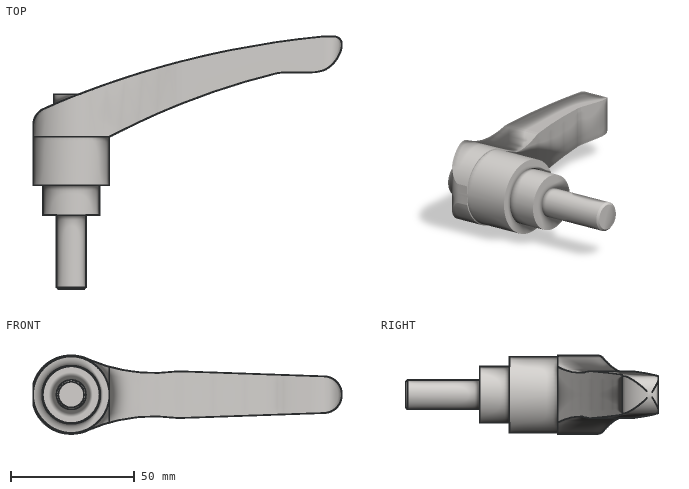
import cadquery as cq


stud_diameter = 12.0
stud_length = 30.0
stud_chamfer = 0.8
insert_diameter = 23.0
insert_length = 12.1
collar_diameter = 31.0
collar_radius = collar_diameter / 2
collar_length = 19.7
collar_top = insert_length + collar_length
bore_diameter = 23.7
bore_depth = 12.0
bore_end = insert_length + bore_depth
button_diameter = 14.3
button_top = 49.2
button_hole_diameter = 17.2

head_radius = 16.0
head_flat_inset = 0.01
head_flat_x = -collar_radius + head_flat_inset
shoulder_radius = 7.5
shoulder_corner_y = 41.3
shoulder_start_y = 36.4

overall_length = 125.41
tip_x = overall_length - collar_radius
tip_side_y = 68.5
tip_top_y = 72.63
tip_top_start = (102.5, tip_top_y)
tip_top_end = (106.5, tip_top_y)
tip_end = (tip_x, tip_side_y)
belly_flat_end = (102.8, 58.88)
belly_flat_start = (101.7, 58.55)
grip_flat_y = 57.9
grip_flat_end = (97.2, grip_flat_y)
grip_flat_start = (85.9, grip_flat_y)
top_middle = (46.0, 62.85)
underside_end = (83.5, 57.6)
underside_middle = (52.0, 48.0)
underside_start = (19.8, 33.95)

head_end = (7.3, 14.24)
waist = (33.6, 8.84)
neck_end = (42.7, 9.47)
taper_start = (45.0, 9.5)
tip_half_width = 7.5
taper_end = (tip_x - tip_half_width, tip_half_width)

clearance = 5.0


def cylinder(diameter, y_start, y_end):
    """Cylinder on the clamping axis between two Y positions."""
    circle = cq.Workplane("XZ", origin=(0, y_start, 0)).circle(diameter / 2)
    return circle.extrude(y_start - y_end)


def lever_side_body():
    """Curved side profile of the lever, extruded past the head width, with its shoulder rounded."""
    profile = (
        cq.Workplane("XY")
        .workplane(offset=-head_radius - clearance)
        .moveTo(head_flat_x, collar_top)
        .lineTo(head_flat_x, shoulder_corner_y)
        .threePointArc(top_middle, tip_top_start)
        .lineTo(*tip_top_end)
        .tangentArcPoint(tip_end, relative=False)
        .tangentArcPoint(belly_flat_end, relative=False)
        .lineTo(*belly_flat_start)
        .tangentArcPoint(grip_flat_end, relative=False)
        .lineTo(*grip_flat_start)
        .lineTo(*underside_end)
        .threePointArc(underside_middle, underside_start)
        .lineTo(collar_radius, collar_top)
        .close()
    )
    body = profile.extrude(2 * (head_radius + clearance))
    shoulder_point = (head_flat_x, shoulder_corner_y, 0)
    shoulder_edge = cq.selectors.NearestToPointSelector(shoulder_point)
    return body.edges(shoulder_edge).fillet(shoulder_radius)


def mirrored(point):
    """Plan point (X, Z) mirrored across the lever's middle plane Z = 0."""
    x, z = point
    return (x, -z)


def lever_plan_body():
    """Plan outline, extruded along Y: round head, waisted neck, tapered grip and round tip."""
    outline = (
        cq.Workplane("XZ")
        .moveTo(*head_end)
        .threePointArc(waist, neck_end)
        .lineTo(*taper_start)
        .lineTo(*taper_end)
        .threePointArc((tip_x, 0), mirrored(taper_end))
        .lineTo(*mirrored(taper_start))
        .lineTo(*mirrored(neck_end))
        .threePointArc(mirrored(waist), mirrored(head_end))
        .threePointArc((-head_radius, 0), head_end)
        .close()
    )
    return outline.extrude(-tip_top_y - clearance)


def lever():
    """Lever arm with its collar, the insert bore and the hole around the button."""
    arm = lever_side_body().intersect(lever_plan_body())
    collar = cylinder(collar_diameter, insert_length, shoulder_start_y)
    insert_bore = cylinder(bore_diameter, insert_length, bore_end)
    button_hole = cylinder(button_hole_diameter, collar_top, tip_top_y)
    return arm.union(collar).cut(insert_bore).cut(button_hole)


def clamping_core():
    """Stud, insert and release button on the clamping axis."""
    stud = cylinder(stud_diameter, -stud_length, 0).faces("<Y").chamfer(stud_chamfer)
    insert = cylinder(insert_diameter, 0, bore_end)
    button = cylinder(button_diameter, collar_top, button_top)
    return stud.union(insert).union(button)


result = lever().union(clamping_core())